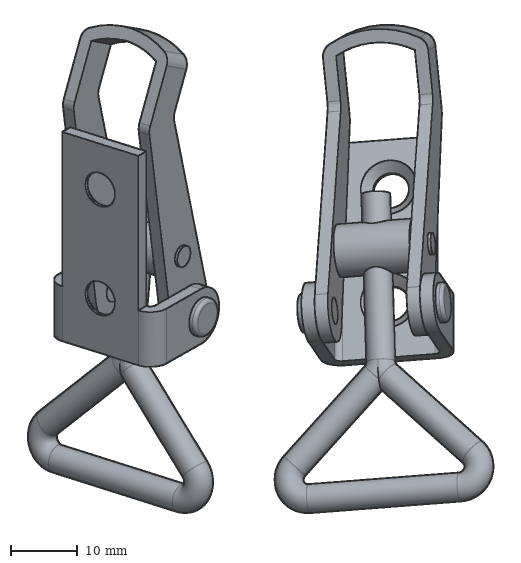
import cadquery as cq
import math


sheet = 2.0

base_half_width = 10.1
bend_radius = 3.0
pivot_y = 11.7
ear_radius = 4.5
plate_top = 30.0
plate_hole_diameter = 5.5
plate_hole_heights = (4.5, 22.45)
plate_hole_lip = 0.5
countersink_half_angle = 45
plate_half_width = base_half_width - bend_radius

lever_half_width = base_half_width - sheet
lever_inner_half_width = lever_half_width - sheet
lever_end_radius = 4.7
front_edge_lean = math.radians(9.3)
back_edge_lean = math.radians(14.9)
arm_lean = math.radians(26)
knee_height = 33.9
knee_radius = 2.25
arm_length = 13.8
crown_radius = 14.5
crown_corner_radius = 2.25

rivet_head_diameter = 6.0
rivet_head_height = 1.1
rivet_head_rounding = 0.6
rivet_shank_diameter = 4.0

pin_y = 9.5
pin_z = 10.25
pin_diameter = 3.3
pin_half_length = 8.5
barrel_diameter = 8.0
barrel_half_length = 5.8

wire_diameter = 4.4
hook_lean = 7.4
shaft_top = 8.2
crossbar_depth = 37.45
crossbar_half_length = 11.5
hook_bend_radius = 3.0
leg_slope = math.radians(45)


def x_cylinder(diameter, x_start, x_end, y, z):
    """Cylinder along X between two X positions."""
    return (
        cq.Workplane("YZ", origin=(x_start, y, z))
        .circle(diameter / 2)
        .extrude(x_end - x_start)
    )


def centered_x_cylinder(diameter, half_length, y, z):
    return x_cylinder(diameter, -half_length, half_length, y, z)



def ear_channel(half_width, front_y, corner_radius):
    """Block as tall as the ears with its two front corners rounded."""
    back_y = pivot_y + ear_radius
    return (
        cq.Workplane("XY")
        .box(2 * half_width, back_y - front_y, 2 * ear_radius, centered=(True, False, True))
        .translate((0, front_y, 0))
        .edges("|Z and <Y")
        .fillet(corner_radius)
    )


def ear_outline():
    """Side shape of the ears, round about the pivot, across the whole base width."""
    return (
        cq.Workplane("YZ", origin=(-base_half_width, 0, 0))
        .moveTo(0, -ear_radius)
        .lineTo(pivot_y, -ear_radius)
        .threePointArc((pivot_y + ear_radius, 0), (pivot_y, ear_radius))
        .lineTo(0, ear_radius)
        .close()
        .extrude(2 * base_half_width)
    )


def countersunk_hole(height):
    """Cutter for a plate hole that widens toward the back of the plate."""
    hole = cq.Workplane("XZ", origin=(0, 0, height)).circle(plate_hole_diameter / 2).extrude(-sheet)
    countersink = (
        cq.Workplane("XZ", origin=(0, plate_hole_lip, height))
        .circle(plate_hole_diameter / 2)
        .extrude(plate_hole_lip - sheet, taper=-countersink_half_angle)
    )
    return hole.union(countersink)


def make_base():
    plate = (
        cq.Workplane("XY")
        .box(2 * plate_half_width, sheet, plate_top + ear_radius, centered=(True, False, False))
        .translate((0, 0, -ear_radius))
    )
    outside = ear_channel(base_half_width, 0, bend_radius)
    inside = ear_channel(lever_half_width, sheet, bend_radius - sheet)
    base = outside.cut(inside).intersect(ear_outline()).union(plate)
    for height in plate_hole_heights:
        base = base.cut(countersunk_hole(height))
    return base.cut(centered_x_cylinder(rivet_shank_diameter, base_half_width, pivot_y, 0))



def lever_edge_y(side, lean):
    """Y at knee height of a straight edge tangent to the lever's round end."""
    return pivot_y + side * lever_end_radius / math.cos(lean) - knee_height * math.tan(lean)


front_knee_y = lever_edge_y(-1, front_edge_lean)
back_knee_y = lever_edge_y(1, back_edge_lean)
arm_width = (back_knee_y - front_knee_y) * math.cos(arm_lean)
front_tip_y = front_knee_y + arm_length * math.sin(arm_lean)
front_tip_z = knee_height + arm_length * math.cos(arm_lean)
back_tip_y = front_tip_y + arm_width * math.cos(arm_lean)
back_tip_z = front_tip_z - arm_width * math.sin(arm_lean)


def lever_end_point(angle):
    """Point on the lever's round end, the angle measured from +Y toward +Z."""
    return (
        pivot_y + lever_end_radius * math.cos(angle),
        lever_end_radius * math.sin(angle),
    )


def lever_side_shape():
    """Lever outline in the YZ plane, across the whole lever width."""
    front_tangent = lever_end_point(math.pi + front_edge_lean)
    shape = (
        cq.Workplane("YZ", origin=(-lever_half_width, 0, 0))
        .moveTo(*front_tangent)
        .lineTo(front_knee_y, knee_height)
        .lineTo(front_tip_y, front_tip_z)
        .lineTo(back_tip_y, back_tip_z)
        .lineTo(back_knee_y, knee_height)
        .lineTo(*lever_end_point(back_edge_lean))
        .threePointArc(lever_end_point(-math.pi / 2), front_tangent)
        .close()
        .extrude(2 * lever_half_width)
    )
    margin = 0.75
    knee_edges = cq.selectors.BoxSelector(
        (-margin, front_knee_y - margin, knee_height - margin),
        (margin, back_knee_y + margin, knee_height + margin),
    )
    return shape.edges("|X").edges(knee_edges).fillet(knee_radius)


def arched_block(half_width, top, arch_radius):
    """Long block under an arch, upright, reaching well past the lever below."""
    reach = 2 * (knee_height + arm_length)
    shoulder = top - arch_radius + math.sqrt(arch_radius**2 - half_width**2)
    return (
        cq.Workplane("XZ")
        .moveTo(-half_width, -reach)
        .lineTo(-half_width, shoulder)
        .threePointArc((0, top), (half_width, shoulder))
        .lineTo(half_width, -reach)
        .close()
        .extrude(reach, both=True)
    )


def lever_strap():
    """Inverted U whose legs run along the leaning arm."""
    outside = arched_block(lever_half_width, 0, crown_radius)
    outside = outside.edges("|Y").edges(">Z").fillet(crown_corner_radius)
    inside = arched_block(lever_inner_half_width, -sheet, crown_radius - sheet)
    return (
        outside.cut(inside)
        .rotate((0, 0, 0), (1, 0, 0), -math.degrees(arm_lean))
        .translate((0, front_tip_y, front_tip_z))
    )


def make_lever():
    rivet_holes = centered_x_cylinder(rivet_shank_diameter, lever_half_width, pivot_y, 0)
    pin_holes = centered_x_cylinder(pin_diameter, lever_half_width, pin_y, pin_z)
    return lever_side_shape().intersect(lever_strap()).cut(rivet_holes).cut(pin_holes)



def make_rivet(side):
    """Rivet through one ear and one lever side; side is -1 or 1 along X."""
    head_end = base_half_width + rivet_head_height
    head = x_cylinder(rivet_head_diameter, base_half_width, head_end, pivot_y, 0)
    head = head.faces(">X").edges().fillet(rivet_head_rounding)
    shank = x_cylinder(rivet_shank_diameter, lever_inner_half_width, base_half_width, pivot_y, 0)
    rivet = head.union(shank)
    return rivet if side > 0 else rivet.mirror("YZ")



foot_x = crossbar_half_length + hook_bend_radius * math.sin(leg_slope)
foot_z = hook_bend_radius * (1 + math.cos(leg_slope)) - crossbar_depth
neck_x = hook_bend_radius * (1 - math.cos(leg_slope))
neck_z = foot_z + (foot_x - neck_x) * math.tan(leg_slope)
shaft_bottom = neck_z + hook_bend_radius * math.sin(leg_slope)


def lean_on_pin(body):
    """Move a body from the upright hook position to its leaning place on the pin axis."""
    return body.rotate((0, 0, 0), (1, 0, 0), -hook_lean).translate((0, pin_y, pin_z))


def hook_shaft():
    return (
        cq.Workplane("XY", origin=(0, 0, shaft_bottom))
        .circle(wire_diameter / 2)
        .extrude(shaft_top - shaft_bottom)
    )


def hook_leg():
    """Wire on the +X side from the shaft, down the sloping leg and round to the crossbar."""
    half_bend = leg_slope / 2
    neck_middle = (
        hook_bend_radius * (1 - math.cos(half_bend)),
        shaft_bottom - hook_bend_radius * math.sin(half_bend),
    )
    foot_middle = (
        crossbar_half_length + hook_bend_radius * math.cos(half_bend),
        hook_bend_radius * (1 - math.sin(half_bend)) - crossbar_depth,
    )
    path = (
        cq.Workplane("XZ")
        .moveTo(0, shaft_bottom)
        .threePointArc(neck_middle, (neck_x, neck_z))
        .lineTo(foot_x, foot_z)
        .threePointArc(foot_middle, (crossbar_half_length, -crossbar_depth))
    )
    return cq.Workplane("XY", origin=(0, 0, shaft_bottom)).circle(wire_diameter / 2).sweep(path)


def make_hook():
    leg = hook_leg()
    crossbar = centered_x_cylinder(wire_diameter, crossbar_half_length, 0, -crossbar_depth)
    hook = hook_shaft().union(leg).union(leg.mirror("YZ")).union(crossbar)
    return lean_on_pin(hook).cut(make_pin())


def make_barrel():
    barrel = centered_x_cylinder(barrel_diameter, barrel_half_length, pin_y, pin_z)
    return barrel.cut(lean_on_pin(hook_shaft())).cut(make_pin())


def make_pin():
    """Pin through the lever sides, the barrel and the hook shaft."""
    return centered_x_cylinder(pin_diameter, pin_half_length, pin_y, pin_z)


base = make_base()
lever = make_lever()
rivets = [make_rivet(side) for side in (-1, 1)]
hook = make_hook()
barrel = make_barrel()
pin = make_pin()

result = cq.Compound.makeCompound([
    base.val(),
    lever.val(),
    *[rivet.val() for rivet in rivets],
    hook.val(),
    barrel.val(),
    pin.val(),
])